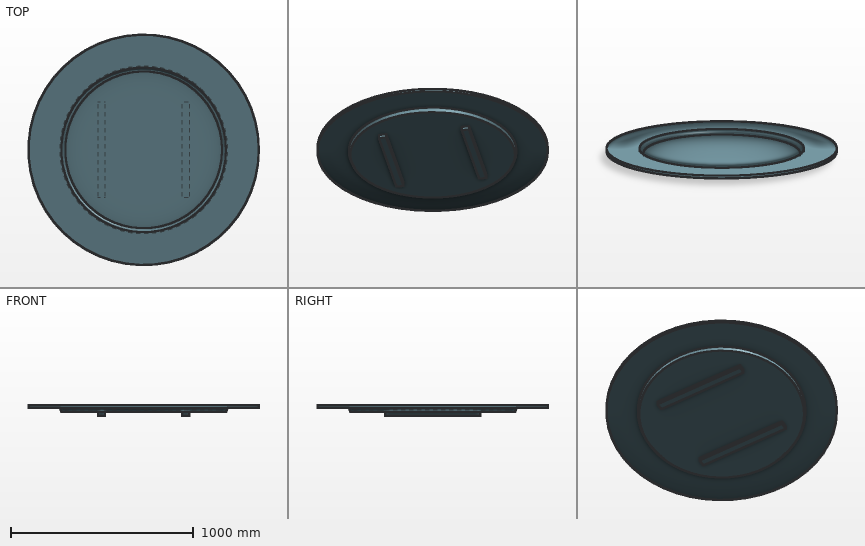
import cadquery as cq

rim_radius = 630.0
total_height = 60.0

bar_width = 40.0
bar_length = 520.0
bar_height = 20.0
bar_spacing = 460.0

rim_thickness = 16.0
pan_top_radius = 459.0
pan_bottom_radius = 450.0

recess_depth = 26.0
floor_radius = 428.0
recess_round = 21.0

disc_thickness = 6.0

rim_bottom = total_height - rim_thickness
floor_level = total_height - recess_depth
round_top = floor_level + recess_round
disc_bottom = floor_level - disc_thickness


def make_dish():
    """Revolve the rim, pan and recess profile about Z, with a seat for the disc."""
    half_diagonal = recess_round * 0.5 ** 0.5
    round_middle = (floor_radius + half_diagonal, round_top - half_diagonal)
    profile = (
        cq.Workplane("XZ")
        .moveTo(0, bar_height)
        .lineTo(pan_bottom_radius, bar_height)
        .lineTo(pan_top_radius, rim_bottom)
        .lineTo(rim_radius, rim_bottom)
        .lineTo(rim_radius, total_height)
        .lineTo(floor_radius + recess_round, total_height)
        .lineTo(floor_radius + recess_round, round_top)
        .threePointArc(round_middle, (floor_radius, floor_level))
        .lineTo(floor_radius, disc_bottom)
        .lineTo(0, disc_bottom)
        .close()
    )
    return profile.revolve(360, (0, 0, 0), (0, 1, 0))


def make_disc():
    """Flat disc that fills the seat in the dish."""
    return cq.Workplane("XY").workplane(offset=disc_bottom).circle(floor_radius).extrude(disc_thickness)


def make_bar(x_centre):
    """Straight bar along Y that touches the underside of the pan."""
    return (
        cq.Workplane("XY")
        .center(x_centre, 0)
        .rect(bar_width, bar_length)
        .extrude(bar_height)
    )


dish = make_dish()
disc = make_disc()
bars = [make_bar(side * bar_spacing / 2) for side in (-1, 1)]

result = cq.Compound.makeCompound([dish.val(), disc.val(), *[bar.val() for bar in bars]])